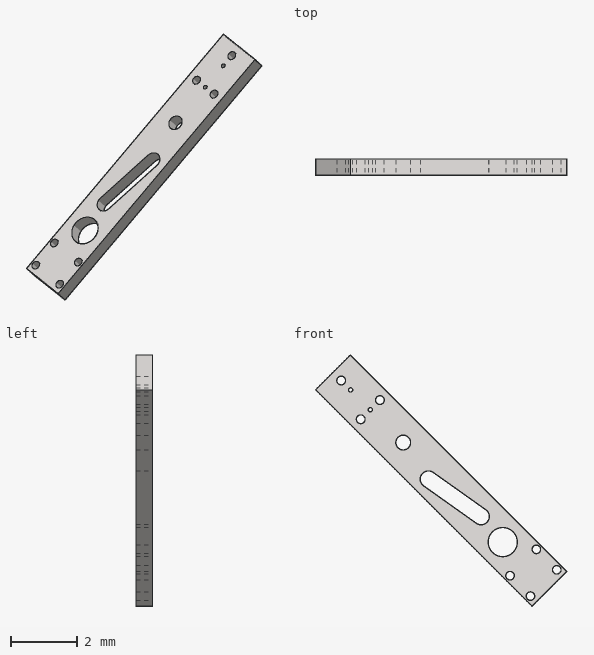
import cadquery as cq
import math

span = 7.6
thickness = 0.5
width = 1.49
tilt = 45.0
length = span * math.sqrt(2) - width

upper_screw_diameter = 0.26
lower_screw_diameter = 0.25
pin_diameter = 0.12
pivot_diameter = 0.44
bore_diameter = 0.875
pivot_position = -1.63
bore_position = 2.63

upper_apex_position = -4.28
upper_pair_position = -3.03
upper_pair_offset = 0.41
pin_positions = (-3.875, -3.03)

lower_screw_positions = (3.5, 4.38)
lower_screw_offset = 0.56

slot_start = (-0.305, -0.24)
slot_end = (1.62, 0.08)
slot_width = 0.495


def holes(points, diameter):
    """Through cutters, centred on the plate thickness."""
    return (
        cq.Workplane("XZ", origin=(0, thickness / 2, 0))
        .pushPoints(points)
        .circle(diameter / 2)
        .extrude(thickness)
    )


def oblique_slot():
    """Through cutter for the slot joining its two end centres."""
    run = slot_end[0] - slot_start[0]
    rise = slot_end[1] - slot_start[1]
    middle = ((slot_start[0] + slot_end[0]) / 2, (slot_start[1] + slot_end[1]) / 2)
    overall_length = math.hypot(run, rise) + slot_width
    angle = math.degrees(math.atan2(rise, run))
    return (
        cq.Workplane("XZ", origin=(0, thickness / 2, 0))
        .center(*middle)
        .slot2D(overall_length, slot_width, angle)
        .extrude(thickness)
    )


upper_screws = [(upper_apex_position, 0)]
upper_screws += [(upper_pair_position, side * upper_pair_offset) for side in (-1, 1)]
lower_screws = [
    (position, side * lower_screw_offset)
    for position in lower_screw_positions
    for side in (-1, 1)
]
pins = [(position, 0) for position in pin_positions]

plate = cq.Workplane("XY").box(length, thickness, width)
plate = plate.cut(holes(upper_screws, upper_screw_diameter))
plate = plate.cut(holes(lower_screws, lower_screw_diameter))
plate = plate.cut(holes(pins, pin_diameter))
plate = plate.cut(holes([(pivot_position, 0)], pivot_diameter))
plate = plate.cut(holes([(bore_position, 0)], bore_diameter))
plate = plate.cut(oblique_slot())

result = plate.rotate((0, 0, 0), (0, 1, 0), tilt)